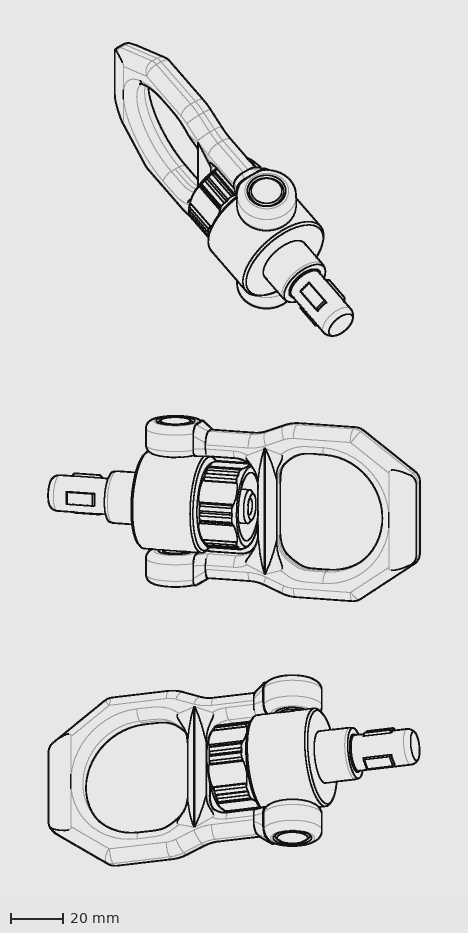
import cadquery as cq


BAIL_THICKNESS = 11.1
CROWN_THICKNESS = 4.7
CROWN_TAPER_LENGTH = 10.3
CROWN_TAPER_BULGE = 0.1
BAIL_HALF_HEIGHT = 34.0
CROWN_HALF_HEIGHT = 16.7
SHOULDER_START = 24.4
SHOULDER_END = 51.7
ARM_START = 64.3
MARGIN = 1.5
CROWN_CORNER_RADIUS = 4.9
WAIST_RADIUS = 14.8
OUTER_EDGE_RADIUS = 4.5
WINDOW_EDGE_RADIUS = 3.7

EYE_RADIUS = 23.0
EYE_CENTER_X = 37.0
EYE_CORNER_POINTS = [(49.5, 21.5), (54.1, 17.9)]
BAR_START = 56.5
BAR_HALF_LENGTH = 10.3
BAR_WIDTH = 7.7
RIDGE_HALF_LENGTH = 24.8
RIDGE_WIDTH = 0.3
FLANK_DEPTH = 4.0
FLANK_BULGE = 0.3
FLANK_OVERHANG = 0.5
SCOOP_EYE_SIDE = [(38.5, 18.5), (51.7, 22.2)]
SCOOP_ARM_SIDE = [(71.4, 19.8), (84.3, 14.0)]
SCOOP_DEPTH = 3.5
SCOOP_TAPER = 74.0
ARM_OUTER_Z = 29.0
ARM_INNER_Z = 19.2
ARM_END = 84.3
PLATE_END = 110.9
ARM_WINDOW_RADIUS = 8.9

HINGE_X = 98.2
BOSS_RADIUS = 11.4
BOSS_INNER_Z = 19.4
BOSS_OUTER_Z = 31.8
BOSS_EDGE_RADIUS = 3.0
FLARE_LENGTH = 4.5
FLARE_WIDTH = 14.8
FLARE_CORNER_RADIUS = 3.7

HOUSING_START = 85.3
HOUSING_END = 110.3
HOUSING_DIAMETER = 38.0
HOUSING_CHAMFER = 0.9
TRUNNION_ROOT_Z = 11.8
TRUNNION_RADIUS = 6.7
TRUNNION_NECK_RADIUS = 4.9
TRUNNION_CHAMFER = 0.7

KNOB_START = 68.6
KNOB_END = 84.5
KNOB_RADIUS = 16.9
KNOB_FLAT_DISTANCE = 15.8
KNOB_CHAMFER = 1.5
KNOB_SIDES = 6
GROOVE_HALF_WIDTH = 1.0
GROOVE_DEPTH = 0.9
GROOVE_PITCH = 13.0
GROOVES_PER_CORNER = 3
DISH_RADIUS = 13.2
DISH_DEPTH = 3.7
BUTTON_RADIUS = 6.5
BUTTON_TIP_RADIUS = 5.0
BUTTON_PROTRUSION = 1.3
BUTTON_FLOOR_RADIUS = 3.1
BUTTON_RECESS_DEPTH = 0.9
STEM_RADIUS = 10.0
STEM_END = 123.7
STEM_CHAMFER_LENGTH = 1.2
STEM_CHAMFER_RADIAL = 0.3
PIN_RADIUS = 7.0
PIN_END = 147.8
PIN_ROOT_CHAMFER = 0.5
PIN_TIP_LENGTH = 2.5
PIN_TIP_RADIUS = 5.6
PIN_TIP_BULGE_RADIUS = 6.7
PAWL_COUNT = 3
PAWL_START = 128.6
PAWL_LENGTH = 11.4
PAWL_WIDTH = 4.7
PAWL_REACH = 7.7
PAWL_CHAMFER = 0.6


def bail_outline():
    half = [
        (0, CROWN_HALF_HEIGHT),
        (SHOULDER_START, BAIL_HALF_HEIGHT),
        (SHOULDER_END, BAIL_HALF_HEIGHT),
        (ARM_START, ARM_OUTER_Z),
        (PLATE_END, ARM_OUTER_Z),
    ]
    mirrored = [(x, -z) for x, z in reversed(half)]
    plate = cq.Workplane("XZ").polyline(half + mirrored).close().extrude(BAIL_THICKNESS / 2, both=True)
    reach = BAIL_HALF_HEIGHT + MARGIN
    crown_corners = cq.selectors.BoxSelector(
        (-MARGIN, -MARGIN, -reach), (SHOULDER_START + MARGIN, MARGIN, reach))
    waist_corners = cq.selectors.BoxSelector(
        (SHOULDER_END - MARGIN, -MARGIN, -reach), (ARM_START + MARGIN, MARGIN, reach))
    plate = plate.edges("|Y").edges(crown_corners).fillet(CROWN_CORNER_RADIUS)
    plate = plate.edges("|Y").edges(waist_corners).fillet(WAIST_RADIUS)
    return plate.faces("<Y or >Y").edges().fillet(OUTER_EDGE_RADIUS)


def eye_window():
    """Round toward the crown, easing into the straight edge of the bar."""
    top = (EYE_CENTER_X, EYE_RADIUS)
    bottom = (EYE_CENTER_X, -EYE_RADIUS)
    corner = [top, *EYE_CORNER_POINTS, (BAR_START, BAR_HALF_LENGTH)]
    lower_corner = [(x, -z) for x, z in reversed(corner)]
    return (
        cq.Workplane("XZ")
        .moveTo(*bottom)
        .threePointArc((EYE_CENTER_X - EYE_RADIUS, 0), top)
        .spline(corner[1:], tangents=[(1, 0), (0, -1)], includeCurrent=True)
        .lineTo(*lower_corner[0])
        .spline(lower_corner[1:], tangents=[(0, -1), (-1, 0)], includeCurrent=True)
        .close()
        .extrude(BAIL_THICKNESS, both=True)
    )


def arm_window():
    start = BAR_START + BAR_WIDTH
    end = HINGE_X
    return (
        cq.Workplane("XZ")
        .center((start + end) / 2, 0)
        .rect(end - start, 2 * ARM_INNER_Z)
        .extrude(BAIL_THICKNESS, both=True)
        .edges("|Y and <X")
        .fillet(ARM_WINDOW_RADIUS)
    )


def web_scoops():
    """Shallow sloped recesses in both faces, where the bar spreads into the sides."""
    apex = (BAR_START + BAR_WIDTH / 2, RIDGE_HALF_LENGTH)
    upper = [*SCOOP_EYE_SIDE, apex, *SCOOP_ARM_SIDE]
    lower = [(x, -z) for x, z in reversed(upper)]
    scoop = (
        cq.Workplane("XZ", origin=(0, -BAIL_THICKNESS / 2, 0))
        .polyline(upper + lower)
        .close()
        .extrude(-SCOOP_DEPTH, taper=SCOOP_TAPER)
    )
    return scoop.union(scoop.mirror("XZ")).cut(ridged_bar())


def ridged_bar():
    """Cross bar with bowed flanks that leave a narrow ridge along each face."""
    ridge = RIDGE_WIDTH / 2
    foot = BAR_WIDTH / 2 + FLANK_OVERHANG
    face = BAIL_THICKNESS / 2
    foot_y = face - FLANK_DEPTH
    middle_x = (ridge + foot) / 2 + FLANK_BULGE
    middle_y = (face + foot_y) / 2 + FLANK_BULGE
    return (
        cq.Workplane("XY")
        .center(BAR_START + BAR_WIDTH / 2, 0)
        .moveTo(-ridge, face)
        .lineTo(ridge, face)
        .threePointArc((middle_x, middle_y), (foot, foot_y))
        .lineTo(foot, -foot_y)
        .threePointArc((middle_x, -middle_y), (ridge, -face))
        .lineTo(-ridge, -face)
        .threePointArc((-middle_x, -middle_y), (-foot, -foot_y))
        .lineTo(-foot, foot_y)
        .threePointArc((-middle_x, middle_y), (-ridge, face))
        .close()
        .extrude(BAIL_HALF_HEIGHT, both=True)
    )


def bail_side_profile():
    half_crown = CROWN_THICKNESS / 2
    half_full = BAIL_THICKNESS / 2
    middle = (CROWN_TAPER_LENGTH / 2, (half_crown + half_full) / 2 + CROWN_TAPER_BULGE)
    return (
        cq.Workplane("XY")
        .moveTo(0, -half_crown)
        .lineTo(0, half_crown)
        .threePointArc(middle, (CROWN_TAPER_LENGTH, half_full))
        .lineTo(ARM_END, half_full)
        .lineTo(ARM_END, -half_full)
        .lineTo(CROWN_TAPER_LENGTH, -half_full)
        .threePointArc((middle[0], -middle[1]), (0, -half_crown))
        .close()
        .extrude(BAIL_HALF_HEIGHT + MARGIN, both=True)
    )


def bail_boss():
    """Boss on the +Z side with the flare that joins it to its arm."""
    boss = (
        cq.Workplane("XY", origin=(HINGE_X, 0, BOSS_INNER_Z))
        .circle(BOSS_RADIUS)
        .extrude(BOSS_OUTER_Z - BOSS_INNER_Z)
        .edges()
        .fillet(BOSS_EDGE_RADIUS)
    )
    arm_height = ARM_OUTER_Z - ARM_INNER_Z
    boss_height = BOSS_OUTER_Z - BOSS_INNER_Z
    arm_middle = (ARM_OUTER_Z + ARM_INNER_Z) / 2
    boss_middle = (BOSS_OUTER_Z + BOSS_INNER_Z) / 2
    arm_section = cq.Sketch().rect(BAIL_THICKNESS, arm_height).vertices().fillet(FLARE_CORNER_RADIUS)
    boss_section = cq.Sketch().rect(FLARE_WIDTH, boss_height).vertices().fillet(FLARE_CORNER_RADIUS)
    flare = (
        cq.Workplane("YZ", origin=(ARM_END, 0, arm_middle))
        .placeSketch(
            arm_section,
            boss_section.moved(cq.Location(cq.Vector(0, boss_middle - arm_middle, FLARE_LENGTH))),
        )
        .loft()
    )
    return boss.union(flare)


def trunnion_hole():
    """Hole through the +Z boss, chamfered at its outer mouth."""
    return (
        cq.Workplane("XZ", origin=(HINGE_X, 0, 0))
        .polyline([
            (0, BOSS_INNER_Z),
            (TRUNNION_RADIUS, BOSS_INNER_Z),
            (TRUNNION_RADIUS, BOSS_OUTER_Z - TRUNNION_CHAMFER),
            (TRUNNION_RADIUS + TRUNNION_CHAMFER, BOSS_OUTER_Z),
            (0, BOSS_OUTER_Z),
        ])
        .close()
        .revolve(360, (0, 0), (0, 1))
    )


def make_bail():
    plate = bail_outline().cut(eye_window()).cut(arm_window())
    window_edges = []
    for side in ("<Y", ">Y"):
        for wire in plate.faces(side).val().innerWires():
            window_edges.extend(wire.Edges())
    plate = plate.newObject(window_edges).fillet(WINDOW_EDGE_RADIUS)
    plate = plate.cut(web_scoops())
    bail = plate.intersect(bail_side_profile())
    boss = bail_boss().cut(trunnion_hole())
    return bail.union(boss).union(boss.mirror("XY"))


def trunnion():
    """Stepped +Z trunnion; the narrow neck spans the gap to the boss."""
    return (
        cq.Workplane("XZ", origin=(HINGE_X, 0, 0))
        .polyline([
            (0, TRUNNION_ROOT_Z),
            (TRUNNION_NECK_RADIUS, TRUNNION_ROOT_Z),
            (TRUNNION_NECK_RADIUS, BOSS_INNER_Z),
            (TRUNNION_RADIUS, BOSS_INNER_Z),
            (TRUNNION_RADIUS, BOSS_OUTER_Z - TRUNNION_CHAMFER),
            (TRUNNION_RADIUS - TRUNNION_CHAMFER, BOSS_OUTER_Z),
            (0, BOSS_OUTER_Z),
        ])
        .close()
        .revolve(360, (0, 0), (0, 1))
    )


def make_housing():
    housing = (
        cq.Workplane("YZ", origin=(HOUSING_START, 0, 0))
        .circle(HOUSING_DIAMETER / 2)
        .extrude(HOUSING_END - HOUSING_START)
        .edges()
        .chamfer(HOUSING_CHAMFER)
        .faces("<X")
        .workplane()
        .circle(STEM_RADIUS)
        .cutThruAll()
    )
    pivot = trunnion()
    return housing.union(pivot).union(pivot.mirror("XY"))


def knob_grip():
    """Round grip with flats; groups of V grooves run between the flats."""
    length = KNOB_END - KNOB_START
    grip = cq.Workplane("YZ", origin=(KNOB_START, 0, 0)).circle(KNOB_RADIUS).extrude(length)
    grip = grip.edges().chamfer(KNOB_CHAMFER)
    hexagon = (
        cq.Workplane("YZ", origin=(KNOB_START, 0, 0))
        .polygon(KNOB_SIDES, 2 * KNOB_FLAT_DISTANCE, circumscribed=True)
        .extrude(length)
        .rotate((0, 0, 0), (1, 0, 0), 180 / KNOB_SIDES)
    )
    grip = grip.intersect(hexagon)
    groove = (
        cq.Workplane("YZ", origin=(KNOB_START + KNOB_CHAMFER, 0, 0))
        .polyline([
            (KNOB_RADIUS - GROOVE_DEPTH, 0),
            (KNOB_RADIUS, GROOVE_HALF_WIDTH),
            (KNOB_RADIUS + GROOVE_DEPTH, 0),
            (KNOB_RADIUS, -GROOVE_HALF_WIDTH),
        ])
        .close()
        .extrude(length - 2 * KNOB_CHAMFER)
    )
    for corner in range(KNOB_SIDES):
        for index in range(GROOVES_PER_CORNER):
            offset = (index - (GROOVES_PER_CORNER - 1) / 2) * GROOVE_PITCH
            angle = corner * 360 / KNOB_SIDES + offset
            grip = grip.cut(groove.rotate((0, 0, 0), (1, 0, 0), angle))
    return grip


def knob_dish():
    """Ring-shaped recess in the knob face around the push button."""
    return (
        cq.Workplane("XY")
        .moveTo(KNOB_START, BUTTON_RADIUS)
        .lineTo(KNOB_START + DISH_DEPTH, BUTTON_RADIUS)
        .lineTo(KNOB_START, DISH_RADIUS)
        .close()
        .revolve(360, (0, 0), (1, 0))
    )


def push_button():
    """Conical tip with a shallow dished face, standing proud of the knob."""
    tip = KNOB_START - BUTTON_PROTRUSION
    return (
        cq.Workplane("XY")
        .polyline([
            (tip + BUTTON_RECESS_DEPTH, 0),
            (tip + BUTTON_RECESS_DEPTH, BUTTON_FLOOR_RADIUS),
            (tip, BUTTON_TIP_RADIUS),
            (KNOB_START, BUTTON_RADIUS),
            (KNOB_START, 0),
        ])
        .close()
        .revolve(360, (0, 0), (1, 0))
    )


def stem_and_pin():
    tip_start = PIN_END - PIN_TIP_LENGTH
    return (
        cq.Workplane("XY")
        .moveTo(KNOB_END, 0)
        .lineTo(KNOB_END, STEM_RADIUS)
        .lineTo(STEM_END - STEM_CHAMFER_LENGTH, STEM_RADIUS)
        .lineTo(STEM_END, STEM_RADIUS - STEM_CHAMFER_RADIAL)
        .lineTo(STEM_END, PIN_RADIUS + PIN_ROOT_CHAMFER)
        .lineTo(STEM_END + PIN_ROOT_CHAMFER, PIN_RADIUS)
        .lineTo(tip_start, PIN_RADIUS)
        .threePointArc((tip_start + PIN_TIP_LENGTH / 2, PIN_TIP_BULGE_RADIUS), (PIN_END, PIN_TIP_RADIUS))
        .lineTo(PIN_END, 0)
        .close()
        .revolve(360, (0, 0), (1, 0))
    )


def locking_pawl():
    """Pawl on the +Y side of the pin."""
    return (
        cq.Workplane("XY")
        .box(PAWL_LENGTH, PAWL_REACH, PAWL_WIDTH)
        .faces(">Y")
        .edges("|Z")
        .chamfer(PAWL_CHAMFER)
        .translate((PAWL_START + PAWL_LENGTH / 2, PAWL_REACH / 2, 0))
    )


def make_spindle():
    knob = knob_grip().cut(knob_dish()).union(push_button())
    spindle = knob.union(stem_and_pin())
    for index in range(PAWL_COUNT):
        angle = index * 360 / PAWL_COUNT
        spindle = spindle.union(locking_pawl().rotate((0, 0, 0), (1, 0, 0), angle))
    return spindle


bail = make_bail()
housing = make_housing()
spindle = make_spindle()

result = cq.Compound.makeCompound([bail.val(), housing.val(), spindle.val()])